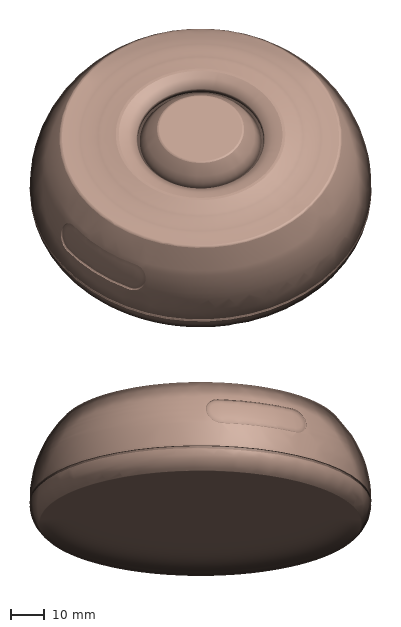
import cadquery as cq
import math

outer_radius = 50.9
total_height = 34.4

base_foot_radius = 48.0
base_foot_round = 0.3
base_shoulder_z = 6.3
base_shoulder_round = 0.3
neck_radius = 50.3

housing_bottom_z = 7.0
housing_flank_start_z = 7.5
rim_radius = 41.7
rim_z = 30.2
rim_round = 1.0
crown_mid = (33.6, 30.4)
crest_radius = 24.8
crest_z = 31.9
crest_round = 2.0
dish_mid = (22.2, 31.1)
well_radius = 18.8
dish_edge_z = 29.5
lip_round = 0.5
well_floor_z = 26.5

flange_top_z = 28.5
lens_radius = 18.1
lens_flank_mid = (15.8, 31.8)
lens_top_radius = 12.7
lens_top_round = 1.0

badge_length = 32.0
badge_height = 8.5
badge_center_x = -0.7
badge_center_z = 18.7
badge_depth = 0.4
badge_floor_bevel = 0.3


def revolved(profile):
    """Turn a closed radius-height outline about the Z axis."""
    return profile.close().revolve(360, (0, 0, 0), (0, 1, 0))


def round_ring(body, ring_z, radius):
    """Round the circular edge that lies closest to height ring_z on the axis."""
    return body.edges(cq.selectors.NearestToPointSelector((0, 0, ring_z))).fillet(radius)


def tangent_arc_radius(inset, rise):
    """Radius of an arc that starts vertical and moves in by inset over the given rise."""
    return (inset**2 + rise**2) / (2 * inset)


def tangent_arc_middle(radius, rise):
    """Inset and rise of the midpoint of an arc that starts vertical and climbs by rise."""
    half_angle = math.asin(rise / radius) / 2
    return radius * (1 - math.cos(half_angle)), radius * math.sin(half_angle)


housing_flank_radius = tangent_arc_radius(outer_radius - rim_radius, rim_z - housing_flank_start_z)
housing_flank_center = outer_radius - housing_flank_radius


def make_base():
    flank_top_z = base_shoulder_z - base_shoulder_round
    flank_radius = tangent_arc_radius(outer_radius - base_foot_radius, flank_top_z)
    mid_inset, mid_drop = tangent_arc_middle(flank_radius, flank_top_z)
    flank_mid = (outer_radius - mid_inset, flank_top_z - mid_drop)
    base = revolved(
        cq.Workplane("XZ")
        .lineTo(base_foot_radius, 0)
        .threePointArc(flank_mid, (outer_radius, flank_top_z))
        .lineTo(outer_radius - base_shoulder_round, base_shoulder_z)
        .lineTo(neck_radius, base_shoulder_z)
        .lineTo(neck_radius, housing_bottom_z)
        .lineTo(0, housing_bottom_z)
    )
    return round_ring(base, 0, base_foot_round)


def make_badge_recess():
    prism = (
        cq.Workplane("XZ")
        .center(badge_center_x, badge_center_z)
        .slot2D(badge_length, badge_height)
        .extrude(outer_radius)
    )
    floor_radius = housing_flank_radius - badge_depth
    core = revolved(
        cq.Workplane("XZ")
        .moveTo(0, housing_flank_start_z - floor_radius)
        .lineTo(housing_flank_center, housing_flank_start_z - floor_radius)
        .threePointArc(
            (housing_flank_center + floor_radius, housing_flank_start_z),
            (housing_flank_center, housing_flank_start_z + floor_radius),
        )
        .lineTo(0, housing_flank_start_z + floor_radius)
    )
    recess = prism.cut(core)
    return recess.faces("%REVOLUTION").edges().chamfer(badge_floor_bevel)


def make_housing():
    mid_inset, mid_rise = tangent_arc_middle(housing_flank_radius, rim_z - housing_flank_start_z)
    flank_mid = (outer_radius - mid_inset, housing_flank_start_z + mid_rise)
    housing = revolved(
        cq.Workplane("XZ")
        .moveTo(0, housing_bottom_z)
        .lineTo(outer_radius, housing_bottom_z)
        .lineTo(outer_radius, housing_flank_start_z)
        .threePointArc(flank_mid, (rim_radius, rim_z))
        .threePointArc(crown_mid, (crest_radius, crest_z))
        .threePointArc(dish_mid, (well_radius, dish_edge_z))
        .lineTo(well_radius, well_floor_z)
        .lineTo(0, well_floor_z)
    )
    housing = round_ring(housing, crest_z, crest_round)
    housing = round_ring(housing, rim_z, rim_round)
    housing = round_ring(housing, dish_edge_z, lip_round)
    return housing.cut(make_badge_recess())


def make_lens():
    lens = revolved(
        cq.Workplane("XZ")
        .moveTo(0, well_floor_z)
        .lineTo(well_radius, well_floor_z)
        .lineTo(well_radius, flange_top_z)
        .lineTo(lens_radius, flange_top_z)
        .threePointArc(lens_flank_mid, (lens_top_radius, total_height))
        .lineTo(0, total_height)
    )
    return round_ring(lens, total_height, lens_top_round)


base = make_base()
housing = make_housing()
lens = make_lens()

result = cq.Compound.makeCompound([base.val(), housing.val(), lens.val()])